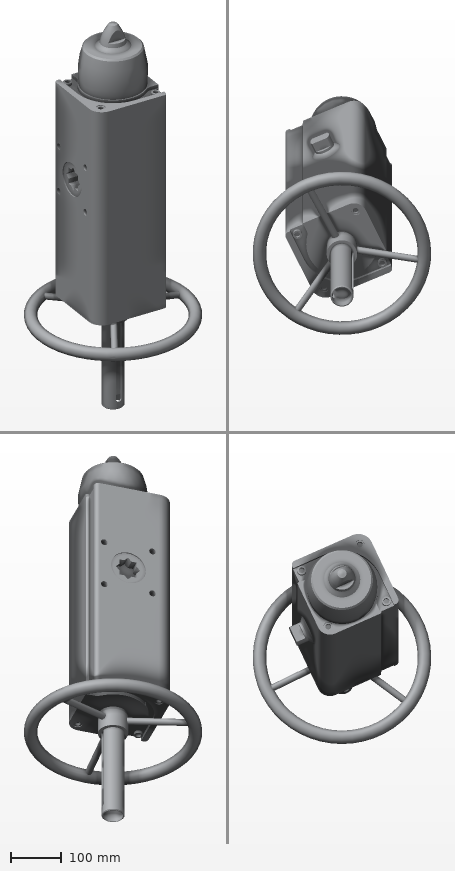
import cadquery as cq
import math

TOTAL_HEIGHT = 855.0
HOUSING_BOTTOM = 242.0
HOUSING_TOP = 720.0
CAP_TOP = 805.0
STEM_SHOULDER = 813.0
FLATS_BOTTOM = 821.0
HUB_TOP = 235.0
HUB_BOTTOM = 196.5
RIM_CENTRE = 201.0
ROD_END = 32.0
PINION_HEIGHT = 531.0

NEAR_SIDE = 73.5
FAR_SIDE = 94.0
STEP_SIDE = 68.0
STEP_START = 50.0
STEP_SLOPE = 3.0
NEAR_CORNER_RADIUS = 26.0
FAR_CORNER_RADIUS = 29.0
SMALL_CORNER_RADIUS = 8.5

RECESS_DEPTH = 8.0
RECESS_OUTER = 81.0
RECESS_INNER_RADIUS = 70.0
RECESS_FILLET = 21.0
BOLT_NEAR = 55.0
BOLT_FAR = 71.0
BOLT_HEAD_DIAMETER = 18.0
BOLT_HEAD_SINK = 2.0
BOLT_SOCKET_DIAMETER = 11.0

CAP_TOP_RADIUS = 61.0
CAP_FLAT_RADIUS = 57.0
CAP_EDGE_HEIGHT = 3.0
CAP_MAX_RADIUS = 69.0
CAP_MAX_HEIGHT = 759.0
CAP_BASE_RADIUS = 67.5
FLARE_DIAMETER = 72.0
STEM_DIAMETER = 53.0
STEM_TIP_DIAMETER = 18.0
STEM_MID_RADIUS = 20.5
STEM_MID_HEIGHT = 832.0
TIP_CROWN = 2.0
BLADE_THICKNESS = 29.0

PINION_DIAMETER = 72.0
PINION_SINK = 2.5
STAR_SIDE = 36.0
STAR_DEPTH = 26.0
PINION_CONE_DIAMETER = 60.0
PINION_NECK_DIAMETER = 40.0
PINION_NECK_START = 81.0
PINION_NECK_END = 86.0
PINION_END = 105.0
PINION_BLADE_THICKNESS = 25.0

MOUNT_SPACING = 100.0
MOUNT_DIAMETER = 14.0
MOUNT_DEPTH = 17.0
MOUNT_TIP_DEPTH = 4.0

COLLAR_DIAMETER = 56.0
WHEEL_DIAMETER = 350.0
RIM_THICKNESS = 26.5
HUB_DIAMETER = 60.0
SPOKE_DIAMETER = 14.0
SPOKE_COUNT = 3
FIRST_SPOKE_ANGLE = 90.0
SPOKE_HUB_RADIUS = 26.0
SPOKE_HUB_HEIGHT = 223.0
TUBE_DIAMETER = 45.0
TUBE_CHAMFER = 2.0
ROD_DIAMETER = 39.0
SLOT_WIDTH = 12.0
SLOT_BOTTOM = 16.0

RIM_RADIUS = (WHEEL_DIAMETER - RIM_THICKNESS) / 2
BOLT_CORNERS = [
    (-BOLT_NEAR, BOLT_NEAR),
    (BOLT_FAR, BOLT_NEAR),
    (BOLT_FAR, -BOLT_FAR),
    (-BOLT_NEAR, -BOLT_FAR),
]


def cylinder_z(diameter, bottom, top, x=0.0, y=0.0):
    return cq.Workplane("XY", origin=(x, y, bottom)).circle(diameter / 2).extrude(top - bottom)


def cylinder_y(diameter, start, end):
    return cq.Workplane("XZ", origin=(0, start, PINION_HEIGHT)).circle(diameter / 2).extrude(start - end)


def housing_block():
    slope_end = STEP_START + STEP_SLOPE
    block = (
        cq.Workplane("XY", origin=(0, 0, HOUSING_BOTTOM))
        .moveTo(-NEAR_SIDE, NEAR_SIDE)
        .lineTo(STEP_START, NEAR_SIDE)
        .lineTo(slope_end, STEP_SIDE)
        .lineTo(FAR_SIDE, STEP_SIDE)
        .lineTo(FAR_SIDE, -FAR_SIDE)
        .lineTo(-STEP_SIDE, -FAR_SIDE)
        .lineTo(-STEP_SIDE, -slope_end)
        .lineTo(-NEAR_SIDE, -STEP_START)
        .close()
        .extrude(HOUSING_TOP - HOUSING_BOTTOM)
    )

    def edge_at(x, y):
        return cq.selectors.NearestToPointSelector((x, y, (HOUSING_BOTTOM + HOUSING_TOP) / 2))

    block = block.edges(edge_at(-NEAR_SIDE, NEAR_SIDE)).fillet(NEAR_CORNER_RADIUS)
    block = block.edges(edge_at(FAR_SIDE, -FAR_SIDE)).fillet(FAR_CORNER_RADIUS)
    block = block.edges(edge_at(FAR_SIDE, STEP_SIDE)).fillet(SMALL_CORNER_RADIUS)
    return block.edges(edge_at(-STEP_SIDE, -FAR_SIDE)).fillet(SMALL_CORNER_RADIUS)


def end_recess(bottom):
    """Crescent around the cap, open at both set-back faces."""
    arc_middle = RECESS_OUTER / math.sqrt(2)
    crescent = (
        cq.Workplane("XY", origin=(0, 0, bottom))
        .moveTo(-NEAR_SIDE, -RECESS_OUTER)
        .lineTo(0, -RECESS_OUTER)
        .threePointArc((arc_middle, -arc_middle), (RECESS_OUTER, 0))
        .lineTo(RECESS_OUTER, NEAR_SIDE)
        .lineTo(STEP_START, NEAR_SIDE)
        .lineTo(STEP_START, -STEP_START)
        .lineTo(-NEAR_SIDE, -STEP_START)
        .close()
        .extrude(RECESS_DEPTH)
    )
    crescent = crescent.cut(cylinder_z(2 * RECESS_INNER_RADIUS, bottom, bottom + RECESS_DEPTH))
    meeting = math.sqrt(RECESS_INNER_RADIUS**2 - STEP_START**2)
    for x, y in ((STEP_START, meeting), (-meeting, -STEP_START)):
        corner = cq.selectors.NearestToPointSelector((x, y, bottom + RECESS_DEPTH / 2))
        crescent = crescent.edges("|Z").edges(corner).fillet(RECESS_FILLET)
    return crescent


def mounting_hole():
    """Blind hole along +Y with a drill-point end."""
    return (
        cq.Workplane("XY")
        .lineTo(MOUNT_DIAMETER / 2, 0)
        .lineTo(MOUNT_DIAMETER / 2, MOUNT_DEPTH)
        .lineTo(0, MOUNT_DEPTH + MOUNT_TIP_DEPTH)
        .close()
        .revolve(360, (0, 0, 0), (0, 1, 0))
    )


def housing():
    """Block with a recess and four sunk bolt heads at each end, and four mounting holes."""
    body = housing_block()
    for end, inward in ((HOUSING_BOTTOM, 1), (HOUSING_TOP, -1)):
        floor = end + inward * RECESS_DEPTH
        head_face = end + inward * BOLT_HEAD_SINK
        body = body.cut(end_recess(min(end, floor)))
        for x, y in BOLT_CORNERS:
            body = body.cut(cylinder_z(BOLT_HEAD_DIAMETER, end, floor, x, y))
            head = cylinder_z(BOLT_HEAD_DIAMETER, floor, head_face, x, y)
            socket = cylinder_z(BOLT_SOCKET_DIAMETER, floor, head_face, x, y)
            body = body.union(head.cut(socket))
    for x in (-MOUNT_SPACING / 2, MOUNT_SPACING / 2):
        for dz in (-MOUNT_SPACING / 2, MOUNT_SPACING / 2):
            body = body.cut(mounting_hole().translate((x, -FAR_SIDE, PINION_HEIGHT + dz)))
    return body


def cap_and_indicator():
    """Barrel-shaped cap and domed indicator, turned in one profile, with two flats on the indicator."""
    stem_radius = STEM_DIAMETER / 2
    flare_radius = FLARE_DIAMETER / 2
    turned = (
        cq.Workplane("XZ")
        .moveTo(0, HOUSING_TOP)
        .lineTo(CAP_BASE_RADIUS, HOUSING_TOP)
        .threePointArc((CAP_MAX_RADIUS, CAP_MAX_HEIGHT), (CAP_TOP_RADIUS, CAP_TOP - CAP_EDGE_HEIGHT))
        .lineTo(CAP_FLAT_RADIUS, CAP_TOP)
        .lineTo(flare_radius, CAP_TOP)
        .lineTo(stem_radius, STEM_SHOULDER)
        .threePointArc((STEM_MID_RADIUS, STEM_MID_HEIGHT), (STEM_TIP_DIAMETER / 2, TOTAL_HEIGHT - TIP_CROWN))
        .lineTo(0, TOTAL_HEIGHT)
        .close()
        .revolve(360, (0, 0, 0), (0, 1, 0))
    )
    for side in (-1, 1):
        flat = cq.Workplane("XY").box(
            stem_radius, STEM_DIAMETER, TOTAL_HEIGHT - FLATS_BOTTOM, centered=(True, True, False)
        )
        turned = turned.cut(flat.translate((side * (BLADE_THICKNESS + stem_radius) / 2, 0, FLATS_BOTTOM)))
    return turned


def pinion_end():
    """Stub on the +Y face: a cone, a round neck and a bladed end."""
    cone = (
        cq.Workplane("XZ", origin=(0, NEAR_SIDE, PINION_HEIGHT))
        .circle(PINION_CONE_DIAMETER / 2)
        .workplane(offset=NEAR_SIDE - PINION_NECK_START)
        .circle(PINION_NECK_DIAMETER / 2)
        .loft()
    )
    neck = cylinder_y(PINION_NECK_DIAMETER, NEAR_SIDE, PINION_NECK_END)
    blade = cylinder_y(PINION_NECK_DIAMETER, NEAR_SIDE, PINION_END).intersect(
        cq.Workplane("XY", origin=(0, 0, PINION_HEIGHT)).box(
            PINION_NECK_DIAMETER, 2 * PINION_END, PINION_BLADE_THICKNESS
        )
    )
    return cone.union(neck).union(blade)


def pinion_socket():
    """Shallow round recess in the -Y face with an eight-pointed star socket."""
    socket = cylinder_y(PINION_DIAMETER, -FAR_SIDE, -FAR_SIDE + PINION_SINK)
    for angle in (0, 45):
        square = (
            cq.Workplane("XZ", origin=(0, -FAR_SIDE, PINION_HEIGHT))
            .transformed(rotate=(0, 0, angle))
            .rect(STAR_SIDE, STAR_SIDE)
            .extrude(-STAR_DEPTH)
        )
        socket = socket.union(square)
    return socket


def actuator():
    """Housing with cap, pinion ends and collar, and the rod that runs down into the guard tube."""
    collar = cylinder_z(COLLAR_DIAMETER, HUB_TOP, HOUSING_BOTTOM)
    rod = cylinder_z(ROD_DIAMETER, ROD_END, HOUSING_BOTTOM)
    body = housing().union(cap_and_indicator()).union(pinion_end()).cut(pinion_socket())
    return body.union(collar).union(rod)


def guard_tube():
    """Tube through the hub and below it, slotted through both walls along X."""
    tube = cylinder_z(TUBE_DIAMETER, 0, HUB_TOP).faces("<Z").chamfer(TUBE_CHAMFER)
    slot_radius = SLOT_WIDTH / 2
    slot = (
        cq.Workplane("YZ")
        .moveTo(-slot_radius, HUB_BOTTOM)
        .lineTo(-slot_radius, SLOT_BOTTOM + slot_radius)
        .threePointArc((0, SLOT_BOTTOM), (slot_radius, SLOT_BOTTOM + slot_radius))
        .lineTo(slot_radius, HUB_BOTTOM)
        .close()
        .extrude(TUBE_DIAMETER / 2, both=True)
    )
    return tube.cut(slot)


def spoke(angle):
    run = RIM_RADIUS - SPOKE_HUB_RADIUS
    drop = RIM_CENTRE - SPOKE_HUB_HEIGHT
    start = cq.Vector(SPOKE_HUB_RADIUS, 0, SPOKE_HUB_HEIGHT)
    bar = cq.Solid.makeCylinder(SPOKE_DIAMETER / 2, math.hypot(run, drop), start, cq.Vector(run, 0, drop))
    return cq.Workplane(bar).rotate((0, 0, 0), (0, 0, 1), angle)


def handwheel():
    """Rim, spokes, hub and guard tube, bored for the rod."""
    wheel = (
        cq.Workplane("XZ")
        .moveTo(RIM_RADIUS, RIM_CENTRE)
        .circle(RIM_THICKNESS / 2)
        .revolve(360, (0, 0, 0), (0, 1, 0))
    )
    for index in range(SPOKE_COUNT):
        wheel = wheel.union(spoke(FIRST_SPOKE_ANGLE + index * 360 / SPOKE_COUNT), clean=False)
    hub_and_tube = cylinder_z(HUB_DIAMETER, HUB_BOTTOM, HUB_TOP).union(guard_tube())
    rod_bore = cylinder_z(ROD_DIAMETER, 0, HUB_TOP)
    return wheel.union(hub_and_tube, clean=False).cut(rod_bore, clean=False)


result = cq.Compound.makeCompound([*actuator().solids().vals(), *handwheel().solids().vals()])